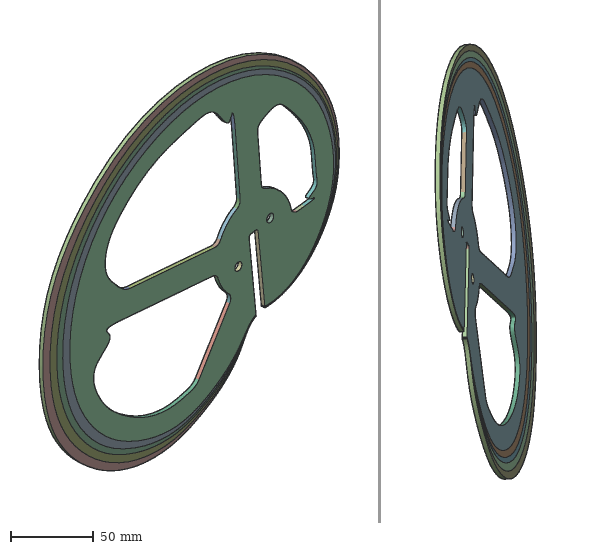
import cadquery as cq
import math

THICKNESS = 3.0
HUB_CENTRE_Y = 58.5
HUB_CENTRE_Z = -15.5

HUB_PLANE = cq.Plane(
    origin=(THICKNESS / 2, HUB_CENTRE_Y, HUB_CENTRE_Z), xDir=(0, -1, 0), normal=(-1, 0, 0)
)

STATION_ANGLES = (
    -95, -88, -80, -72, -64, -56, -40, -32, -16, 0, 16, 32, 48,
    64, 88, 112, 128, 144, 160, 176, 192, 224, 260,
)
OUTLINE_RADII = (
    (51.5, 54.3, 66.3, 83.3, 100.5, 117.5, 142.5, 153.0, 166.7, 170.5, 168.3, 161.2, 150.0,
     138.5, 120.5, 104.0, 94.0, 85.0, 77.8, 71.5, 65.8, 58.0, 51.0),
    (51.8, 54.5, 67.7, 85.8, 103.3, 121.2, 147.7, 159.0, 173.5, 177.0, 175.0, 167.2, 156.0,
     144.0, 124.7, 107.5, 97.5, 88.0, 79.8, 73.0, 67.0, 58.5, 51.3),
    (52.0, 55.0, 69.0, 88.0, 105.8, 124.0, 151.9, 163.5, 178.2, 182.5, 179.8, 171.5, 160.0,
     147.5, 127.2, 108.8, 98.7, 89.0, 80.9, 74.0, 67.7, 59.0, 51.5),
    (52.4, 55.5, 70.5, 90.5, 108.8, 128.0, 158.0, 169.0, 184.8, 188.9, 186.5, 177.3, 165.8,
     152.5, 131.5, 112.7, 101.1, 91.0, 82.2, 75.0, 68.5, 59.2, 51.8),
    (52.5, 55.6, 72.0, 93.0, 111.8, 131.8, 163.6, 175.5, 191.5, 195.5, 193.5, 183.7, 171.5,
     157.5, 135.7, 115.0, 103.3, 93.0, 83.5, 76.2, 69.3, 59.5, 52.0),
)

HUB_RADIUS = 35.0
HUB_CORNER_RADIUS = 5.5
SPOKE_WIDTH = 19.7
SIDE_SPOKE_ANGLE = 5.0
TOP_SPOKE_ANGLE = SIDE_SPOKE_ANGLE + 80.0
LOWER_WEB_ANGLE = -55.5
LEFT_WEB_ANGLE = 174.5
SLIT_ANGLE = -96.3
SLIT_WIDTH = 8.2
SLIT_LENGTH = 82.2
SLIT_TIP_PAST_CENTRE = 7.7
SLIT_TIP_RADIUS = 2.0

HOLE_DIAMETER = 6.3
HOLE_PITCH_RADIUS = 18.0
HOLE_AXIS_ANGLE = 144.5


def polar(angle, radius):
    """Sketch point at an angle and radius about the hub centre."""
    turn = math.radians(angle)
    return cq.Vector(radius * math.cos(turn), radius * math.sin(turn))


def edge_point(angle, offset, distance):
    """Sketch point along a line in the given direction, shifted to its left by an offset."""
    return polar(angle, distance) + polar(angle + 90, offset)


def cam_plate(radii):
    """Full plate bounded by one cam outline, closed by a short chord across the slit."""
    points = [polar(angle, radius) for angle, radius in zip(STATION_ANGLES, radii)]
    return cq.Workplane(HUB_PLANE).spline(points).close().extrude(THICKNESS)


def slit_cutter():
    """Slot with rounded tip corners, from just past the hub centre out through the edge."""
    middle = (SLIT_LENGTH / 2) - SLIT_TIP_PAST_CENTRE
    slit_plane = HUB_PLANE.rotated((0, 0, SLIT_ANGLE))
    return (
        cq.Workplane(slit_plane)
        .center(middle, 0)
        .rect(SLIT_LENGTH, SLIT_WIDTH)
        .extrude(THICKNESS)
        .edges("|X")
        .fillet(SLIT_TIP_RADIUS)
    )


def hole_cutter():
    centres = [polar(HOLE_AXIS_ANGLE + turn, HOLE_PITCH_RADIUS) for turn in (0, 180)]
    return cq.Workplane(HUB_PLANE).pushPoints(centres).circle(HOLE_DIAMETER / 2).extrude(THICKNESS)


def window_cutter(first_edge, rim, last_edge):
    """Window between two straight edges, the hub and a smooth rim curve.

    An edge is (direction, offset to the left, distance at which the rim curve leaves it);
    the rim is a list of (angle, radius) points from the first edge to the last.
    """
    first_angle, first_offset, first_reach = first_edge
    last_angle, last_offset, last_reach = last_edge
    first_root = edge_point(first_angle, first_offset, math.sqrt(HUB_RADIUS**2 - first_offset**2))
    last_root = edge_point(last_angle, last_offset, math.sqrt(HUB_RADIUS**2 - last_offset**2))
    rim_points = [
        edge_point(first_angle, first_offset, first_reach),
        *[polar(angle, radius) for angle, radius in rim],
        edge_point(last_angle, last_offset, last_reach),
    ]
    end_directions = [polar(first_angle, 1), polar(last_angle, -1)]
    window = (
        cq.Workplane(HUB_PLANE)
        .moveTo(first_root.x, first_root.y)
        .lineTo(rim_points[0].x, rim_points[0].y)
        .spline(rim_points[1:], tangents=end_directions, includeCurrent=True)
        .lineTo(last_root.x, last_root.y)
        .threePointArc(polar((first_angle + last_angle) / 2, HUB_RADIUS), first_root)
        .close()
        .extrude(THICKNESS)
    )
    for root in (first_root, last_root):
        corner = cq.selectors.NearestToPointSelector(HUB_PLANE.toWorldCoords(root).toTuple())
        window = window.edges("|X").edges(corner).fillet(HUB_CORNER_RADIUS)
    return window


def window_cutters():
    half_spoke = SPOKE_WIDTH / 2
    upper_window = window_cutter(
        (SIDE_SPOKE_ANGLE, half_spoke, 115.7),
        [
            (12, 129.0), (16, 141.5), (24, 148.0), (32, 145.3),
            (48, 134.5), (64, 123.0), (72, 113.8), (77, 99.8),
        ],
        (TOP_SPOKE_ANGLE, -half_spoke, 89.0),
    )
    lower_window = window_cutter(
        (LOWER_WEB_ANGLE, 0, 90.5),
        [
            (-52, 102.0), (-48, 110.7), (-40, 124.7), (-32, 135.5),
            (-24, 144.7), (-16, 150.8), (-8, 147.2), (-2, 133.8),
        ],
        (SIDE_SPOKE_ANGLE, -half_spoke, 122.0),
    )
    left_window = window_cutter(
        (TOP_SPOKE_ANGLE, half_spoke, 76.8),
        [
            (96, 85.2), (104, 90.7), (112, 86.3), (120, 81.5),
            (144, 68.5), (160, 61.0), (168, 56.7), (172, 51.8),
        ],
        (LEFT_WEB_ANGLE, 0, 46.5),
    )
    return [upper_window, lower_window, left_window]


def core_disc(outline, slit):
    """Innermost body: hub, spokes and webs, with its windows, mounting holes and slit."""
    disc = outline.cut(slit).cut(hole_cutter())
    for window in window_cutters():
        disc = disc.cut(window)
    return disc


def rim_layer(outline, inner_outline, slit):
    """Thin rim between one outline and the next smaller one, open at the slit."""
    return outline.cut(inner_outline).cut(slit)


slit = slit_cutter()
plates = [cam_plate(radii) for radii in OUTLINE_RADII]
core = core_disc(plates[0], slit)
rims = [rim_layer(outer, inner, slit) for inner, outer in zip(plates, plates[1:])]

result = cq.Compound.makeCompound([*core.solids().vals(), *[rim.solids().val() for rim in rims]])